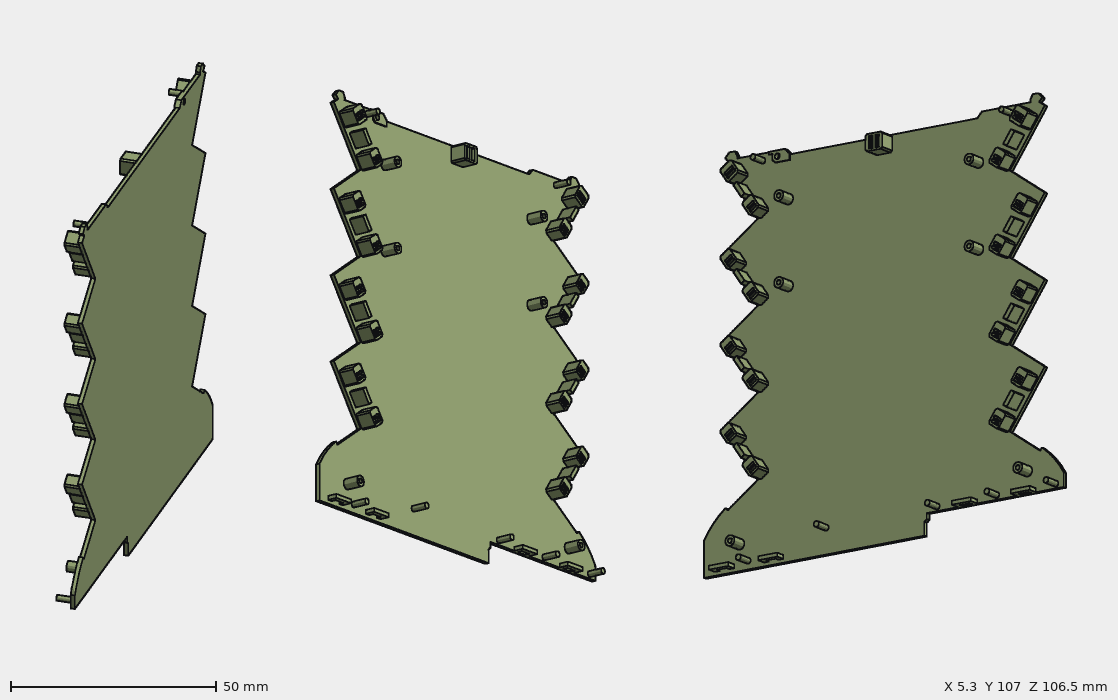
import cadquery as cq
import math

board_thickness = 1.1
component_height = 4.2
base_half_width = 53.5
overall_height = 106.52

tooth_count = 4
tooth_pitch = 22.03
tooth_tip_y = 47.9
top_tip_z = 103.05
tooth_angle = math.radians(35)
lower_flank = tooth_pitch * math.cos(tooth_angle)

top_edge_z = 103.1
shoulder_z = 104.6
shoulder_inner_y = 27.8
shoulder_outer_y = 29.2
knob_inner_y = 43.6
knob_top_inner_y = 44.3
knob_top_outer_y = 45.9
knob_outer_y = 47.2
knob_outer_z = 105.2
knob_neck_y = 46.2
knob_neck_z = top_tip_z + (tooth_tip_y - knob_neck_y) * math.tan(tooth_angle)

foot_side_z = 9.35
foot_middle = (50.4, 13.6)
foot_end = (47.1, 16.6)
foot_notch_y = 46.4

step_y = -12.1
step_chamfer_z = 3.5
step_outer_y = -12.85
step_outer_z = 4.1
raised_edge_z = 5.6

block_length = 4.3
block_width = 3.5
top_block_width = 4.1
block_edge_gap = 0.4
first_block_start = 2.85
second_block_start = 14.35
block_chamfer = 0.45
rib_start = 8.8
rib_length = 4.1
rib_edge_gap = 1.25
rib_thickness = 1.25

slot_depth = 1.5
slot_floor = slot_depth - component_height
block_slot_width = 0.65
block_slot_pitch = 1.15
block_slot_length = 2.2
block_slot_shift = 0.55
top_block_slot_length = 2.8
top_block_slot_shift = 0.35

header_length = 4.95
header_width = 4.4
header_slot_width = 1.1
header_slot_pitch = 1.86
header_slot_length = 3.2
contact_width = 0.37
contact_recess = 0.5
header_gap = 0.1

pin_diameter = 1.5
top_pin_z = 102.75
lower_row_z = 6.75
pin_places = [(35.95, top_pin_z), (-37.95, top_pin_z), (40.3, 2.15)]
pin_places += [(y, lower_row_z) for y in (17.1, -15.9, -33.6, -51.2)]

standoff_diameter = 2.7
standoff_bore = 1.2
standoff_bore_depth = 2.0
standoff_y = 28.3
standoff_rows = [91.75, 69.75]
foot_standoff_y = 42.8
standoff_places = [(side * standoff_y, z) for z in standoff_rows for side in (1, -1)]
standoff_places += [(foot_standoff_y, lower_row_z), (-foot_standoff_y, 11.3)]

bridge_length = 5.7
bridge_reach = 2.6
bridge_leg = 1.4
bridge_height = 1.0
left_bridge_z = 0.95
bridge_places = [(47.3, left_bridge_z), (32.7, left_bridge_z),
                 (-24.9, raised_edge_z), (-42.4, raised_edge_z)]

pad_thickness = 0.35
pad_outline = [(34.0, shoulder_z), (34.0, 103.9), (32.9, 103.9), (32.9, 102.3),
               (32.1, 101.6), (shoulder_inner_y, 101.6),
               (shoulder_inner_y, top_edge_z), (shoulder_outer_y, shoulder_z)]
pad_hole_diameter = 1.4
pad_hole_place = (31.45, 103.1)


def extrude_x(sketch, start, end):
    """Extrude a closed YZ sketch from x = start to x = end."""
    return sketch.extrude(end - start).translate((start, 0, 0))


def mirrored(points):
    """Points of the other flank, in reverse order."""
    return [(-y, z) for y, z in reversed(points)]


def tooth_tip(index):
    return (tooth_tip_y, top_tip_z - index * tooth_pitch)


def flank_points():
    """Points of the +Y flank from the foot notch up to the inner top shoulder."""
    valley_y = tooth_tip_y - lower_flank * math.sin(tooth_angle)
    points = []
    for index in reversed(range(tooth_count)):
        tip = tooth_tip(index)
        valley = (valley_y, tip[1] - lower_flank * math.cos(tooth_angle))
        points += [valley, tip]
    lowest_valley_z = points[0][1]
    notch_z = lowest_valley_z - (foot_notch_y - valley_y) * math.tan(tooth_angle)
    knob = [(knob_neck_y, knob_neck_z), (knob_outer_y, knob_outer_z),
            (knob_top_outer_y, overall_height), (knob_top_inner_y, overall_height),
            (knob_inner_y, knob_outer_z), (knob_inner_y, shoulder_z)]
    shoulder = [(shoulder_outer_y, shoulder_z), (shoulder_inner_y, top_edge_z)]
    return [(foot_notch_y, notch_z)] + points + knob + shoulder


def make_board():
    flank = flank_points()
    far_flank = mirrored(flank)
    outline = cq.Workplane("YZ").moveTo(base_half_width, 0)
    outline = outline.lineTo(base_half_width, foot_side_z)
    outline = outline.threePointArc(foot_middle, foot_end)
    for point in flank + far_flank + mirrored([foot_end]):
        outline = outline.lineTo(*point)
    far_middle = mirrored([foot_middle])[0]
    outline = outline.threePointArc(far_middle, (-base_half_width, foot_side_z))
    outline = outline.lineTo(-base_half_width, raised_edge_z)
    outline = outline.lineTo(step_outer_y, raised_edge_z)
    outline = outline.lineTo(step_outer_y, step_outer_z)
    outline = outline.lineTo(step_y, step_chamfer_z)
    outline = outline.lineTo(step_y, 0).close()
    return extrude_x(outline, 0, board_thickness)


def bar(length, width, start, end, y=0):
    """Bar from x = start to x = end: length along Y, width along Z, centred at y."""
    return extrude_x(cq.Workplane("YZ").center(y, 0).rect(length, width), start, end)


def make_block(length, width, slot_width, slot_length, slot_centres):
    """Chamfered block on the X axis with slots sunk into its end face."""
    block = bar(length, width, -component_height, 0).edges("|X").chamfer(block_chamfer)
    for centre in slot_centres:
        block = block.cut(bar(slot_width, slot_length, -component_height, slot_floor, centre))
    return block


def place_on_flank(shape, tip, along, inward):
    """Move a shape from the X axis to a spot measured along and inward from a tooth's lower flank."""
    flank_direction = 270 - math.degrees(tooth_angle)
    y = tip[0] - along * math.sin(tooth_angle) - inward * math.cos(tooth_angle)
    z = tip[1] - along * math.cos(tooth_angle) + inward * math.sin(tooth_angle)
    return shape.rotate((0, 0, 0), (1, 0, 0), flank_direction).translate((0, y, z))


def make_terminal(tip, start, width, slot_length, slot_shift):
    """Terminal block starting a given way down the lower flank of a tooth."""
    slot_centres = [slot_shift + side * block_slot_pitch / 2 for side in (1, -1)]
    block = make_block(block_length, width, block_slot_width, slot_length, slot_centres)
    return place_on_flank(block, tip, start + block_length / 2, block_edge_gap + width / 2)


def make_terminals(index):
    """Two blocks and the rib between them on one +Y tooth."""
    tip = tooth_tip(index)
    standard = (block_width, block_slot_length, block_slot_shift)
    topmost = (top_block_width, top_block_slot_length, top_block_slot_shift)
    first_size = topmost if index == 0 else standard
    first_block = make_terminal(tip, first_block_start, *first_size)
    second_block = make_terminal(tip, second_block_start, *standard)
    rib = bar(rib_length, rib_thickness, -component_height, 0)
    rib_inward = rib_edge_gap + rib_thickness / 2
    rib = place_on_flank(rib, tip, rib_start + rib_length / 2, rib_inward)
    return first_block.add(second_block).add(rib).combine()


def make_header():
    slot_centres = [side * header_slot_pitch / 2 for side in (1, -1)]
    header = make_block(header_length, header_width, header_slot_width, header_slot_length, slot_centres)
    strip_top = contact_recess - component_height
    for centre in slot_centres:
        strip_y = centre + (header_slot_width - contact_width) / 2
        header = header.union(bar(contact_width, header_slot_length, strip_top, slot_floor, strip_y))
    return header.translate((0, 0, top_edge_z - header_gap - header_width / 2))


def make_pins():
    pins = cq.Workplane("YZ").pushPoints(pin_places).circle(pin_diameter / 2)
    return extrude_x(pins, -component_height, 0)


def make_standoffs():
    posts = cq.Workplane("YZ").pushPoints(standoff_places).circle(standoff_diameter / 2)
    bores = cq.Workplane("YZ").pushPoints(standoff_places).circle(standoff_bore / 2)
    bore_floor = standoff_bore_depth - component_height
    posts = extrude_x(posts, -component_height, 0)
    return posts.cut(extrude_x(bores, -component_height, bore_floor))


def make_bridge(y, z):
    body = cq.Workplane("XY").box(bridge_reach, bridge_length, bridge_height)
    window_depth = bridge_reach - bridge_leg
    window = cq.Workplane("XY").box(window_depth, bridge_length - 2 * bridge_leg, bridge_height)
    body = body.cut(window.translate((bridge_leg / 2, 0, 0)))
    return body.translate((-bridge_reach / 2, y, z + bridge_height / 2))


def make_pad():
    return extrude_x(cq.Workplane("YZ").polyline(pad_outline).close(), -pad_thickness, 0)


result = make_board().union(make_pins()).union(make_standoffs()).union(make_header())
result = result.union(make_pad())
for tooth in range(tooth_count):
    near_side = make_terminals(tooth)
    result = result.union(near_side).union(near_side.mirror("XZ"))
for bridge_place in bridge_places:
    result = result.union(make_bridge(*bridge_place))
pad_hole = cq.Workplane("YZ").center(*pad_hole_place).circle(pad_hole_diameter / 2)
result = result.cut(extrude_x(pad_hole, -pad_thickness, board_thickness))